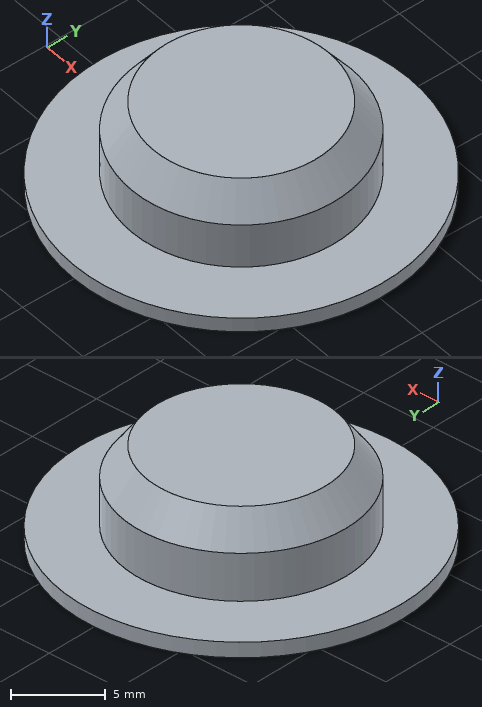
import cadquery as cq

flange_diameter = 23.0
body_diameter = 15.0
top_diameter = 12.0
flange_thickness = 1.0
shoulder_height = 4.0
total_height = 6.0

side_count = 60


def polygon_prism(diameter, base_height, top_height):
    """Upright prism whose corners lie on a circle of the given diameter."""
    return (
        cq.Workplane("XY")
        .workplane(offset=base_height)
        .polygon(side_count, diameter)
        .extrude(top_height - base_height)
    )


def tapered_crown():
    """Faceted frustum from the shoulder up to the flat top."""
    return (
        cq.Workplane("XY")
        .workplane(offset=shoulder_height)
        .polygon(side_count, body_diameter)
        .workplane(offset=total_height - shoulder_height)
        .polygon(side_count, top_diameter)
        .loft(ruled=True, combine=True)
    )


flange = polygon_prism(flange_diameter, 0, flange_thickness)
body = polygon_prism(body_diameter, flange_thickness, shoulder_height)

result = flange.union(body).union(tapered_crown())